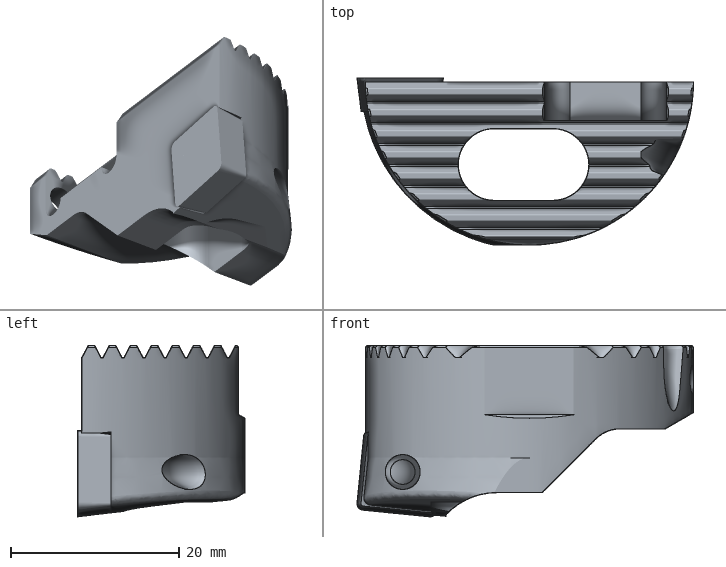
import cadquery as cq
import math


RADIUS = 19.5
FACE_Y = -0.09
FRONT_FLAT_Y = -18.77
FRONT_FLAT_HEIGHT = 8.25
FRONT_FLAT_RUNOUT = 30.0
RIM_CHAMFER = 0.24
REACH = 60.0

FLARE_TOP_Z = -13.38
FLARE_ANGLE = 6.0
BOTTOM_ROUND = 0.9

SHELF_Z = -9.95
NOSE_Z = -17.52
NOSE_RIGHT_X = 1.5
SHELF_RIGHT_X = 16.1
TAIL_SLOPE = 30.0
SLOPE_ROUND = 4.0
NOSE_LEFT_X = -3.9
HEEL_X = -9.92
HEEL_Z = -20.14

TOOTH_PITCH = 2.5
TOOTH_DEPTH = 1.48
CREST_WIDTH = 0.74
VALLEY_WIDTH = 0.22
FIRST_GAP_Y = FACE_Y + 0.07
GAP_COUNT = 8
CREST_ROUND = 0.2

SLOT_LENGTH = 15.5
SLOT_WIDTH = 8.5
SLOT_X = -0.7
SLOT_Y = -9.92

NOTCH_X = 9.03
NOTCH_DEPTH_Y = 4.6
NOTCH_FLOOR_Z = -6.2
NOTCH_FLOOR_HALF = 4.2
NOTCH_WALL_HALF = 7.27
NOTCH_MOUTH_HALF = 7.49
NOTCH_MOUTH_DEPTH = 1.4
NOTCH_GROOVE_RADIUS = (NOTCH_WALL_HALF - NOTCH_FLOOR_HALF) / 2
ADJUST_HOLE_RADIUS = 1.65
ADJUST_HOLE_Z = -4.05

GROOVE_CENTRE = (15.06, -8.69, 0.82)
GROOVE_RADIUS = 2.0
GROOVE_FLARE = 25.0
GROOVE_TILT = 27.0
GROOVE_HEADING = -22.0
GROOVE_DEPTH = 8.0

RECESS_LEFT_X = -11.7
RECESS_BACK_Y = -4.7
RECESS_TOP_Z = -18.65
RECESS_CORNER = 3.5

INSERT_SIDE = 9.525
INSERT_THICKNESS = 3.97
INSERT_CORNER = 0.8
INSERT_RELIEF = 7.0
INSERT_TILT = 5.7
INSERT_X = -15.36
INSERT_Z = -15.25
INSERT_TOP_Y = 0.37
POCKET_DRAFT = 2.6
HOLDER_INSET = 0.2

SCREW_X = -15.06
SCREW_Z = -15.06
SCREW_RADIUS = 1.62
SCREW_HEAD_RADIUS = 2.6
SCREW_HEAD_HEIGHT = 1.6
SCREW_TIP_CHAMFER = 0.15
BORE_RADIUS = 2.07
BORE_END_Y = -9.1

TILT = math.radians(INSERT_TILT)
INSERT_RIGHT = cq.Vector(math.cos(TILT), 0, -math.sin(TILT))
INSERT_CENTRE = cq.Vector(INSERT_X, INSERT_TOP_Y, INSERT_Z)


def block(x0, x1, y0, y1, z0, z1):
    """Box between two corners."""
    return cq.Workplane("XY").box(x1 - x0, y1 - y0, z1 - z0, centered=False).translate((x0, y0, z0))


def screw_shape():
    """Countersunk screw along -Y, its head level with the insert and its tip at the end of the bore."""
    length = INSERT_TOP_Y - BORE_END_Y
    profile = (
        cq.Workplane("XZ")
        .lineTo(SCREW_HEAD_RADIUS, 0)
        .lineTo(SCREW_RADIUS, SCREW_HEAD_HEIGHT)
        .lineTo(SCREW_RADIUS, length - SCREW_TIP_CHAMFER)
        .lineTo(SCREW_RADIUS - SCREW_TIP_CHAMFER, length)
        .lineTo(0, length)
        .close()
    )
    turned = profile.revolve(360, (0, 0, 0), (0, 1, 0))
    return turned.rotate((0, 0, 0), (1, 0, 0), 90).translate((SCREW_X, INSERT_TOP_Y, SCREW_Z))


def square_block(draft):
    """Rounded square of the insert's size, narrowing towards -Y by the draft angle."""
    plane = cq.Plane(origin=INSERT_CENTRE, xDir=INSERT_RIGHT, normal=(0, -1, 0))
    outline = cq.Sketch().rect(INSERT_SIDE, INSERT_SIDE).vertices().fillet(INSERT_CORNER)
    return cq.Workplane(plane).placeSketch(outline).extrude(INSERT_THICKNESS, taper=draft)


def insert_shape():
    """Square insert with relieved sides and a countersunk hole filled by the screw."""
    return square_block(INSERT_RELIEF).cut(screw_shape())


def round_block():
    """Round block with a chamfered rim and a front flat, stopping where the left half flares."""
    body = cq.Workplane("XY").circle(RADIUS).extrude(-REACH)
    runout = (RADIUS + FRONT_FLAT_Y) * math.tan(math.radians(FRONT_FLAT_RUNOUT))
    flat = (
        cq.Workplane("YZ")
        .moveTo(FRONT_FLAT_Y, 0)
        .lineTo(FRONT_FLAT_Y, -FRONT_FLAT_HEIGHT)
        .lineTo(-RADIUS, -FRONT_FLAT_HEIGHT - runout)
        .lineTo(-RADIUS, 0)
        .close()
        .extrude(REACH, both=True)
    )
    body = body.cut(flat).faces(">Z").chamfer(RIM_CHAMFER)
    return body.cut(block(-REACH, 0, -REACH, REACH, -REACH, FLARE_TOP_Z))


def flared_corner():
    """Left half of a cone below the round block, ending in a tilted underside with a rounded edge."""
    height = RADIUS
    foot_radius = RADIUS + height * math.tan(math.radians(FLARE_ANGLE))
    top = cq.Vector(0, 0, FLARE_TOP_Z)
    cone = cq.Workplane(cq.Solid.makeCone(RADIUS, foot_radius, height, top, cq.Vector(0, 0, -1)))
    side_plane = cq.Plane(origin=INSERT_CENTRE, xDir=(0, 1, 0), normal=INSERT_RIGHT)
    bottom = HOLDER_INSET - INSERT_SIDE / 2
    rise = REACH * math.tan(math.radians(INSERT_RELIEF))
    below = (
        cq.Workplane(side_plane)
        .moveTo(REACH, bottom - rise)
        .lineTo(-REACH, bottom + rise)
        .lineTo(-REACH, -REACH)
        .lineTo(REACH, -REACH)
        .close()
        .extrude(REACH, both=True)
    )
    cone = cone.cut(below).faces("<Z").edges().fillet(BOTTOM_ROUND)
    return cone.intersect(block(-REACH, 0, -RADIUS, REACH, -REACH, 0))


def underside_profile():
    """Material above the stepped underside, across the whole depth of the part."""
    tail_rise = (REACH - SHELF_RIGHT_X) * math.tan(math.radians(TAIL_SLOPE))
    slope_top_x = NOSE_RIGHT_X + SHELF_Z - NOSE_Z
    profile = (
        cq.Workplane("XZ")
        .moveTo(-REACH, REACH)
        .lineTo(REACH, REACH)
        .lineTo(REACH, SHELF_Z + tail_rise)
        .lineTo(SHELF_RIGHT_X, SHELF_Z)
        .lineTo(slope_top_x, SHELF_Z)
        .lineTo(NOSE_RIGHT_X, NOSE_Z)
        .lineTo(NOSE_LEFT_X, NOSE_Z)
        .tangentArcPoint((HEEL_X, HEEL_Z), relative=False)
        .lineTo(HEEL_X, -REACH)
        .lineTo(-REACH, -REACH)
        .close()
        .extrude(REACH, both=True)
    )
    margin = SLOPE_ROUND / 2
    corner = cq.selectors.BoxSelector(
        (slope_top_x - margin, -2 * REACH, SHELF_Z - margin),
        (slope_top_x + margin, 2 * REACH, SHELF_Z + margin),
    )
    return profile.edges(corner).fillet(SLOPE_ROUND)


def tooth_gap():
    """One gap between two teeth, flaring out at the top to round the crest edges."""
    crest_x = (TOOTH_PITCH - CREST_WIDTH) / 2
    valley_x = VALLEY_WIDTH / 2
    slope = math.atan2(TOOTH_DEPTH, crest_x - valley_x)
    tangent = CREST_ROUND * math.tan(slope / 2)
    flank_x = crest_x - tangent * math.cos(slope)
    flank_z = -tangent * math.sin(slope)
    round_x = crest_x + tangent
    middle_x = round_x - CREST_ROUND * math.sin(slope / 2)
    middle_z = -CREST_ROUND * (1 - math.cos(slope / 2))
    return (
        cq.Workplane("YZ")
        .moveTo(-round_x, 0)
        .threePointArc((-middle_x, middle_z), (-flank_x, flank_z))
        .lineTo(-valley_x, -TOOTH_DEPTH)
        .lineTo(valley_x, -TOOTH_DEPTH)
        .lineTo(flank_x, flank_z)
        .threePointArc((middle_x, middle_z), (round_x, 0))
        .close()
        .extrude(REACH, both=True)
    )


def tooth_gaps():
    """All gaps between the teeth, from the mounting side to the front."""
    gap = tooth_gap()
    return [gap.translate((0, FIRST_GAP_Y - i * TOOTH_PITCH, 0)) for i in range(GAP_COUNT)]


def notch():
    """Notch with a relief groove along each floor corner, and the hole from it to the +X side."""
    back = FACE_Y - NOTCH_DEPTH_Y
    cutter = (
        cq.Workplane("XZ", origin=(NOTCH_X, back, 0))
        .moveTo(-NOTCH_MOUTH_HALF, 0)
        .lineTo(-NOTCH_WALL_HALF, -NOTCH_MOUTH_DEPTH)
        .lineTo(-NOTCH_WALL_HALF, NOTCH_FLOOR_Z)
        .threePointArc(
            (-NOTCH_WALL_HALF + NOTCH_GROOVE_RADIUS, NOTCH_FLOOR_Z - NOTCH_GROOVE_RADIUS),
            (-NOTCH_FLOOR_HALF, NOTCH_FLOOR_Z),
        )
        .lineTo(NOTCH_FLOOR_HALF, NOTCH_FLOOR_Z)
        .threePointArc(
            (NOTCH_WALL_HALF - NOTCH_GROOVE_RADIUS, NOTCH_FLOOR_Z - NOTCH_GROOVE_RADIUS),
            (NOTCH_WALL_HALF, NOTCH_FLOOR_Z),
        )
        .lineTo(NOTCH_WALL_HALF, -NOTCH_MOUTH_DEPTH)
        .lineTo(NOTCH_MOUTH_HALF, 0)
        .close()
        .extrude(-REACH)
    )
    hole = (
        cq.Workplane("YZ", origin=(NOTCH_X, back + NOTCH_DEPTH_Y / 2, ADJUST_HOLE_Z))
        .circle(ADJUST_HOLE_RADIUS)
        .extrude(REACH)
    )
    return cutter.union(hole)


def rim_groove():
    """Round-bottomed groove slanting down and outward through the rim, with one flared flank."""
    tilt = math.radians(GROOVE_TILT)
    heading = math.radians(GROOVE_HEADING)
    flare = math.radians(GROOVE_FLARE)
    along = (math.sin(tilt) * math.cos(heading), math.sin(tilt) * math.sin(heading), -math.cos(tilt))
    sideways = (-math.sin(heading), math.cos(heading), 0)
    plane = cq.Plane(origin=GROOVE_CENTRE, xDir=sideways, normal=along)
    contact_x = GROOVE_RADIUS * math.cos(flare)
    contact_y = -GROOVE_RADIUS * math.sin(flare)
    flared_x = contact_x + (GROOVE_DEPTH - contact_y) * math.tan(flare)
    return (
        cq.Workplane(plane)
        .moveTo(-GROOVE_RADIUS, GROOVE_DEPTH)
        .lineTo(-GROOVE_RADIUS, 0)
        .threePointArc((0, -GROOVE_RADIUS), (contact_x, contact_y))
        .lineTo(flared_x, GROOVE_DEPTH)
        .close()
        .extrude(REACH, both=True)
    )


def underside_recess():
    """Flat-topped recess in the tilted underside, open towards the heel curve and the front."""
    recess = block(RECESS_LEFT_X, NOSE_LEFT_X, -REACH, RECESS_BACK_Y, -REACH, RECESS_TOP_Z)
    return recess.edges("|Z and <X and >Y").fillet(RECESS_CORNER)


def holder_shape():
    """Holder with all of its cuts."""
    body = round_block().union(flared_corner())
    body = body.intersect(underside_profile())
    body = body.intersect(block(-REACH, REACH, -RADIUS, FACE_Y, -REACH, 0))
    slot = cq.Workplane("XY").center(SLOT_X, SLOT_Y).slot2D(SLOT_LENGTH, SLOT_WIDTH).extrude(-REACH)
    bore = cq.Workplane("XZ", origin=(SCREW_X, BORE_END_Y, SCREW_Z)).circle(BORE_RADIUS).extrude(REACH)
    pocket = square_block(POCKET_DRAFT)
    holes = [slot, bore, pocket, screw_shape()]
    cuts = [*tooth_gaps(), notch(), rim_groove(), underside_recess()]
    for cutter in holes + cuts:
        body = body.cut(cutter)
    return body


holder = holder_shape()
screw = screw_shape()
insert = insert_shape()

result = cq.Compound.makeCompound([holder.val(), insert.val(), screw.val()])